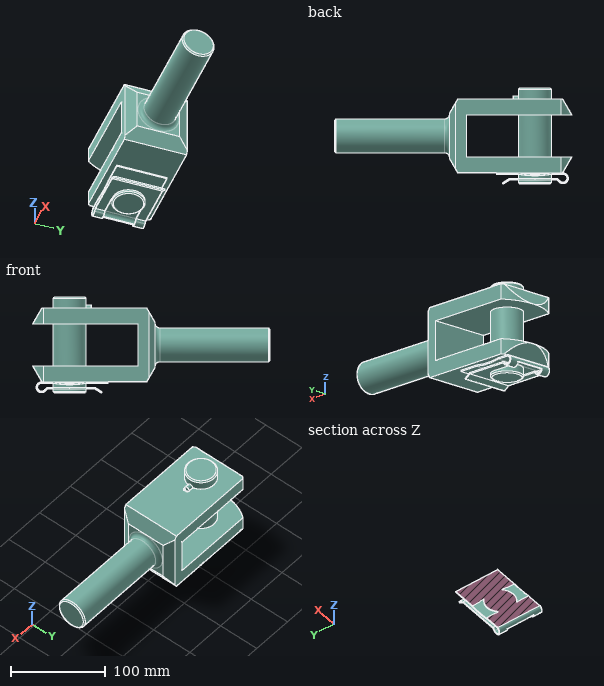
import cadquery as cq
import math

total_length = 250.0
fork_width = 70.0
fork_height = 78.0
fork_length = 129.0
slot_height = 44.0
slot_depth = 111.0
tip_radius = 58.0
bevel_angle = 30.0
rear_bevel_length = 8.7

shaft_diameter = 36.0
shaft_chamfer = 1.5
neck_fillet = 5.0

pin_diameter = 35.0
pin_length = 101.0
pin_chamfer = 1.5
pin_x = 39.0

dowel_diameter = 6.1
dowel_end_x = 62.0
groove_end_x = 65.0
groove_width = 6.6
groove_corner_radius = 2.0

clip_thickness = 1.5
clip_width = 56.6
clip_front_x = 3.8
clip_loop_height = 11.3
clip_upper_end_x = 79.5
clip_lower_gap = 6.0
clip_bow_half_length = 16.5
clip_bow_depth = 1.5
clip_ramp_angle = 45.0
clip_tip_bend_x = 66.0
clip_tip_angle = 33.0
clip_tip_drop = 4.46

half_width = fork_width / 2
half_height = fork_height / 2
cheek_thickness = (fork_height - slot_height) / 2
bevel_slope = math.tan(math.radians(bevel_angle))


def make_fork():
    """Slotted block with a round, bevelled tip and a four-sided tapered rear end."""
    tip_sagitta = tip_radius - math.sqrt(tip_radius**2 - half_width**2)
    tip_setback = cheek_thickness * bevel_slope
    rear_half_size = half_height - rear_bevel_length / bevel_slope
    side_bevel_length = (half_width - rear_half_size) * bevel_slope

    plan = (
        cq.Workplane("XY")
        .moveTo(tip_sagitta, -half_width)
        .threePointArc((0, 0), (tip_sagitta, half_width))
        .lineTo(fork_length - side_bevel_length, half_width)
        .lineTo(fork_length, rear_half_size)
        .lineTo(fork_length, -rear_half_size)
        .lineTo(fork_length - side_bevel_length, -half_width)
        .close()
        .extrude(half_height, both=True)
    )
    side_profile = (
        cq.Workplane("XZ")
        .moveTo(0, slot_height / 2)
        .lineTo(tip_setback, half_height)
        .lineTo(fork_length - rear_bevel_length, half_height)
        .lineTo(fork_length, rear_half_size)
        .lineTo(fork_length, -rear_half_size)
        .lineTo(fork_length - rear_bevel_length, -half_height)
        .lineTo(tip_setback, -half_height)
        .lineTo(0, -slot_height / 2)
        .lineTo(slot_depth, -slot_height / 2)
        .lineTo(slot_depth, slot_height / 2)
        .close()
        .extrude(half_width, both=True)
    )
    return plan.intersect(side_profile)


def make_shaft():
    """Round shaft with a fillet flare where it meets the fork and a chamfered end."""
    radius = shaft_diameter / 2
    fillet_reach = neck_fillet * (1 - math.sqrt(0.5))
    return (
        cq.Workplane("XY")
        .moveTo(fork_length, 0)
        .lineTo(fork_length, radius + neck_fillet)
        .threePointArc(
            (fork_length + fillet_reach, radius + fillet_reach),
            (fork_length + neck_fillet, radius),
        )
        .lineTo(total_length - shaft_chamfer, radius)
        .lineTo(total_length, radius - shaft_chamfer)
        .lineTo(total_length, 0)
        .close()
        .revolve(360, (0, 0, 0), (1, 0, 0))
    )


def make_pin():
    """Clevis pin across the fork, chamfered at both ends."""
    return (
        cq.Workplane("XY")
        .center(pin_x, 0)
        .circle(pin_diameter / 2)
        .extrude(pin_length / 2, both=True)
        .faces("|Z")
        .chamfer(pin_chamfer)
    )


def make_dowel():
    """Locking dowel that leaves the pin along X, half sunk in the fork's top face."""
    return (
        cq.Workplane("YZ", origin=(pin_x, 0, half_height))
        .circle(dowel_diameter / 2)
        .extrude(dowel_end_x - pin_x)
    )


def make_dowel_groove():
    """Flat-bottomed groove in the fork's top face that holds the dowel."""
    length = groove_end_x - pin_x
    depth = dowel_diameter / 2
    return (
        cq.Workplane("XY")
        .box(length, groove_width, depth, centered=(False, True, False))
        .edges("|Z and >X")
        .fillet(groove_corner_radius)
        .translate((pin_x, 0, half_height - depth))
    )


def make_clip():
    """Bent sheet spring clip under the fork, windowed through the loop and lower leaf up to the pin axis."""
    upper_z = -half_height - clip_thickness / 2
    lower_z = -half_height - clip_lower_gap - clip_thickness / 2
    loop_radius = (clip_loop_height - clip_thickness) / 2
    loop_x = clip_front_x + clip_loop_height / 2
    loop_z = -half_height - clip_loop_height / 2
    ramp = math.radians(clip_ramp_angle)
    ramp_start_x = loop_x + loop_radius * math.sin(ramp)
    ramp_start_z = loop_z - loop_radius * math.cos(ramp)
    ramp_end_x = ramp_start_x + (lower_z - ramp_start_z) / math.tan(ramp)
    tip_x = clip_tip_bend_x + clip_tip_drop / math.tan(math.radians(clip_tip_angle))

    centre_line = (
        cq.Workplane("XZ")
        .moveTo(clip_upper_end_x, upper_z)
        .lineTo(pin_x + clip_bow_half_length, upper_z)
        .threePointArc((pin_x, upper_z - clip_bow_depth), (pin_x - clip_bow_half_length, upper_z))
        .lineTo(loop_x, upper_z)
        .threePointArc((loop_x - loop_radius, loop_z), (ramp_start_x, ramp_start_z))
        .lineTo(ramp_end_x, lower_z)
        .lineTo(clip_tip_bend_x, lower_z)
        .lineTo(tip_x, lower_z - clip_tip_drop)
    )
    strip = (
        cq.Workplane("YZ", origin=(clip_upper_end_x, 0, upper_z))
        .rect(clip_width, clip_thickness)
        .sweep(centre_line, transition="right")
    )
    window = (
        cq.Workplane("XY")
        .box(pin_x, pin_diameter, clip_loop_height, centered=(False, True, False))
        .translate((0, 0, -half_height - clip_lower_gap - clip_loop_height))
    )
    return strip.cut(window)


fork = make_fork().cut(make_dowel_groove())
result = fork.union(make_shaft()).union(make_pin()).union(make_dowel()).union(make_clip())